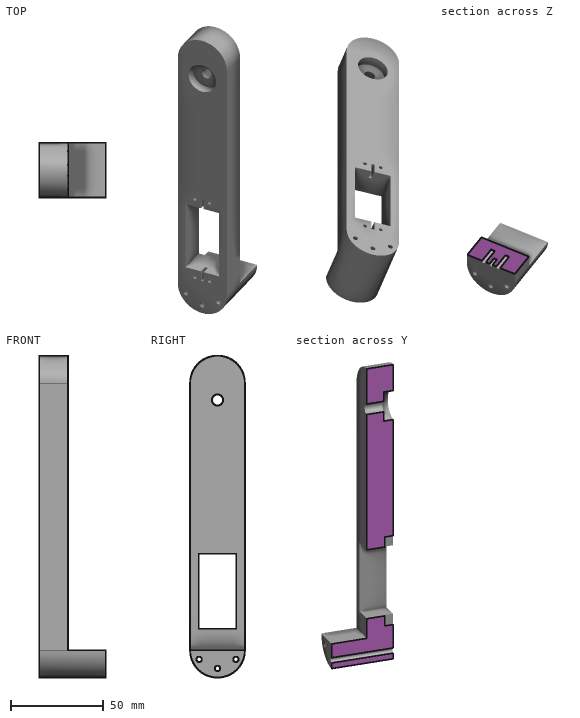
import cadquery as cq

height = 175.0
width = 30.0
foot_length = 36.2
arm_thickness = 15.7
end_radius = width / 2

pivot_z = 150.8
pivot_diameter = 6.0
counterbore_diameter = 17.0
counterbore_depth = 5.5

window_width = 20.3
window_height = 40.6
window_z = 46.9

groove_width = 1.5
groove_length = 6.0
groove_depth = 4.9
screw_spacing = 9.0
screw_offset_z = 25.2
screw_diameter = 2.1
screw_depth = 10.0

foot_hole_diameter = 2.8
side_hole_y = 10.0
side_hole_z = 10.0
middle_hole_z = 5.0


def x_box(length, y_size, z_size, z_center):
    """Box starting at the X = 0 face, centred on Y = 0."""
    return (
        cq.Workplane("XY")
        .box(length, y_size, z_size, centered=(False, True, True))
        .translate((0, 0, z_center))
    )


def x_cylinder(diameter, length, points):
    """Cylinders along +X from the X = 0 face at the given (y, z) points."""
    return cq.Workplane("YZ").pushPoints(points).circle(diameter / 2).extrude(length)


def make_arm():
    """Upright bar with both ends fully rounded."""
    return (
        cq.Workplane("YZ")
        .center(0, height / 2)
        .slot2D(height, width, 90)
        .extrude(arm_thickness)
    )


def make_foot():
    """Half-round foot with a flat top, concentric with the lower arm end."""
    return (
        cq.Workplane("YZ")
        .moveTo(-end_radius, end_radius)
        .threePointArc((0, 0), (end_radius, end_radius))
        .close()
        .extrude(foot_length)
    )


def cut_pivot(body):
    center = [(0, pivot_z)]
    body = body.cut(x_cylinder(pivot_diameter, arm_thickness, center))
    return body.cut(x_cylinder(counterbore_diameter, counterbore_depth, center))


def cut_window(body):
    body = body.cut(x_box(arm_thickness, window_width, window_height, window_z))
    groove_span = window_height + 2 * groove_length
    return body.cut(x_box(groove_depth, groove_width, groove_span, window_z))


def cut_screw_holes(body):
    points = [
        (y_side * screw_spacing / 2, window_z + z_side * screw_offset_z)
        for y_side in (-1, 1)
        for z_side in (-1, 1)
    ]
    return body.cut(x_cylinder(screw_diameter, screw_depth, points))


def cut_foot_holes(body):
    points = [(-side_hole_y, side_hole_z), (0, middle_hole_z), (side_hole_y, side_hole_z)]
    return body.cut(x_cylinder(foot_hole_diameter, foot_length, points))


result = make_arm().union(make_foot())
result = cut_pivot(result)
result = cut_window(result)
result = cut_screw_holes(result)
result = cut_foot_holes(result)